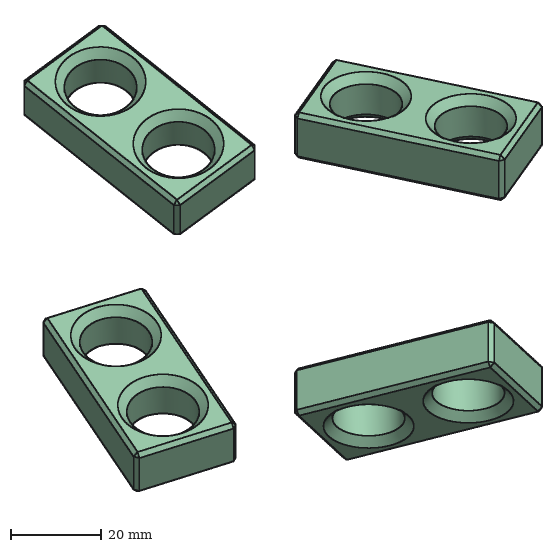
import cadquery as cq

length = 50.0
width = 25.0
height = 12.0
edge_chamfer = 1.0

hole_diameter = 16.1
hole_spacing = length / 2
countersink_depth = 2.0


def chamfered_block():
    """Block resting on Z = 0 with every outer edge chamfered."""
    block = cq.Workplane("XY").box(length, width, height, centered=(True, True, False))
    return block.edges().chamfer(edge_chamfer)


def countersunk_hole_cutter():
    """Through cylinder that opens at 45 degrees towards both the top and bottom faces."""
    hole_radius = hole_diameter / 2
    mouth_radius = hole_radius + countersink_depth
    profile = (
        cq.Workplane("XZ")
        .lineTo(mouth_radius, 0)
        .lineTo(hole_radius, countersink_depth)
        .lineTo(hole_radius, height - countersink_depth)
        .lineTo(mouth_radius, height)
        .lineTo(0, height)
        .close()
    )
    return profile.revolve(360, (0, 0, 0), (0, 1, 0))


result = chamfered_block()
for side in (-1, 1):
    hole_x = side * hole_spacing / 2
    result = result.cut(countersunk_hole_cutter().translate((hole_x, 0, 0)))